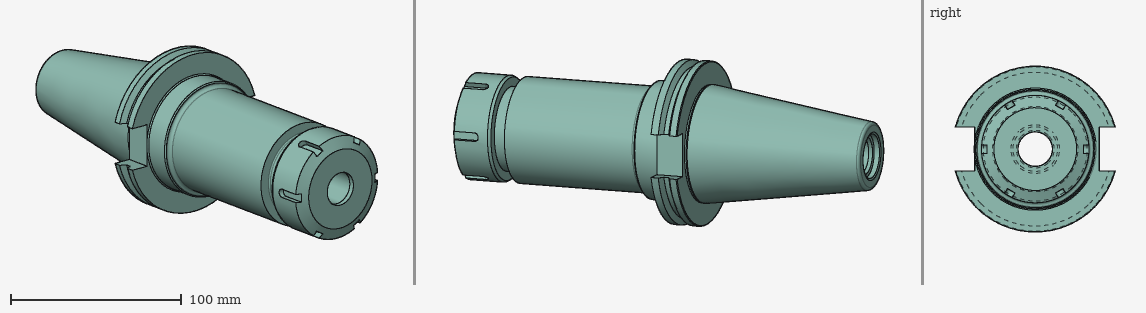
import cadquery as cq
import math


taper_length = 102.5
taper_large_diameter = 70.0
taper_ratio = 7 / 24
small_end_radius = (taper_large_diameter - taper_length * taper_ratio) / 2
small_end_fillet = 2.0
relief_start = 103.5
relief_diameter = 69.5

flange_start = 104.5
flange_end = 120.7
flange_diameter = 97.3
flange_chamfer = 0.5
groove_center = 112.5
groove_floor_width = 3.0
groove_depth = 3.5
groove_half_angle = 30
keyway_width = 25.7
front_keyway_floor = 35.5
rear_keyway_floor = 37.5

collar_diameter = 70.0
collar_end = 136.5
collar_chamfer = 0.8
shank_diameter = 63.0
shank_end = 219.2
shank_fillet = 2.3
nose_diameter = 50.0
root_fillet = 0.8

bore_diameter = 20.0
mouth_diameter = 28.5
mouth_chamfer_length = 0.5
counterbore_diameter = 26.2
counterbore_depth = 3.8
step_diameter = 22.0
step_depth = 4.0
bore_depth = 6.0

overall_length = 254.0
nut_start = 228.0
nut_diameter = 63.0
nut_rear_chamfer_length = 1.8
nut_rear_chamfer_height = 1.0
nut_front_cone_length = 3.3
nut_face_diameter = 48.5
nut_cone_start = overall_length - nut_front_cone_length
slot_count = 6
slot_width = 5.0
slot_start = 235.7
slot_floor_radius = 28.2


def revolve_about_x(profile):
    """Turn a closed (X, radius) profile about the X axis."""
    return profile.close().revolve(360, (0, 0, 0), (1, 0, 0))


def cylinder_along_x(diameter, start, end):
    return cq.Workplane("YZ", origin=(start, 0, 0)).circle(diameter / 2).extrude(end - start)


def holder_blank():
    flange_radius = flange_diameter / 2
    collar_radius = collar_diameter / 2
    shank_radius = shank_diameter / 2
    nose_radius = nose_diameter / 2
    relief_radius = relief_diameter / 2
    blank = revolve_about_x(
        cq.Workplane("XY")
        .lineTo(0, small_end_radius)
        .lineTo(taper_length, taper_large_diameter / 2)
        .lineTo(relief_start, relief_radius)
        .lineTo(flange_start, relief_radius)
        .lineTo(flange_start, flange_radius - flange_chamfer)
        .lineTo(flange_start + flange_chamfer, flange_radius)
        .lineTo(flange_end, flange_radius)
        .lineTo(flange_end, collar_radius + root_fillet)
        .radiusArc((flange_end + root_fillet, collar_radius), -root_fillet)
        .lineTo(collar_end - collar_chamfer, collar_radius)
        .lineTo(collar_end, collar_radius - collar_chamfer)
        .lineTo(collar_end, shank_radius + shank_fillet)
        .radiusArc((collar_end + shank_fillet, shank_radius), -shank_fillet)
        .lineTo(shank_end, shank_radius)
        .lineTo(shank_end, nose_radius + root_fillet)
        .radiusArc((shank_end + root_fillet, nose_radius), -root_fillet)
        .lineTo(nut_cone_start, nose_radius)
        .lineTo(nut_cone_start, 0)
    )
    return blank.faces("<X").edges().fillet(small_end_fillet)


def flange_groove():
    rim_radius = flange_diameter / 2
    floor_radius = rim_radius - groove_depth
    floor_half = groove_floor_width / 2
    rim_half = floor_half + groove_depth * math.tan(math.radians(groove_half_angle))
    return revolve_about_x(
        cq.Workplane("XY")
        .moveTo(groove_center - rim_half, rim_radius)
        .lineTo(groove_center - floor_half, floor_radius)
        .lineTo(groove_center + floor_half, floor_radius)
        .lineTo(groove_center + rim_half, rim_radius)
    )


def keyway(floor, side):
    """Cutter for the drive keyway on the +Y (side = 1) or -Y (side = -1) side."""
    depth = flange_diameter / 2 - floor
    center = ((flange_start + flange_end) / 2, side * (floor + depth / 2), 0)
    return cq.Workplane("XY").box(flange_end - flange_start, depth, keyway_width).translate(center)


def holder_bore():
    counterbore_radius = counterbore_diameter / 2
    bore_radius = bore_diameter / 2
    return revolve_about_x(
        cq.Workplane("XY")
        .lineTo(0, mouth_diameter / 2)
        .lineTo(mouth_chamfer_length, counterbore_radius)
        .lineTo(counterbore_depth, counterbore_radius)
        .lineTo(step_depth, step_diameter / 2)
        .lineTo(bore_depth, bore_radius)
        .lineTo(nut_cone_start, bore_radius)
        .lineTo(nut_cone_start, 0)
    )


def build_holder():
    return (
        holder_blank()
        .cut(flange_groove())
        .cut(keyway(front_keyway_floor, -1))
        .cut(keyway(rear_keyway_floor, 1))
        .cut(holder_bore())
    )


def nut_slot(angle):
    """Cutter for one round-ended wrench slot, open at the nut's front face."""
    round_center = slot_start + slot_width / 2
    depth = nut_diameter / 2 - slot_floor_radius
    slot = (
        cq.Workplane("XY", origin=(0, 0, slot_floor_radius))
        .moveTo(overall_length, -slot_width / 2)
        .lineTo(round_center, -slot_width / 2)
        .threePointArc((slot_start, 0), (round_center, slot_width / 2))
        .lineTo(overall_length, slot_width / 2)
        .close()
        .extrude(depth)
    )
    return slot.rotate((0, 0, 0), (1, 0, 0), angle)


def build_nut():
    nut_radius = nut_diameter / 2
    nut = revolve_about_x(
        cq.Workplane("XY")
        .moveTo(nut_start, 0)
        .lineTo(nut_start, nut_radius - nut_rear_chamfer_height)
        .lineTo(nut_start + nut_rear_chamfer_length, nut_radius)
        .lineTo(nut_cone_start, nut_radius)
        .lineTo(overall_length, nut_face_diameter / 2)
        .lineTo(overall_length, 0)
    )
    for index in range(slot_count):
        nut = nut.cut(nut_slot(90 + index * 360 / slot_count))
    nose_recess = cylinder_along_x(nose_diameter, nut_start, nut_cone_start)
    through_hole = cylinder_along_x(bore_diameter, nut_start, overall_length)
    return nut.cut(nose_recess).cut(through_hole)


holder = build_holder()
nut = build_nut()
result = cq.Compound.makeCompound([holder.val(), nut.val()])